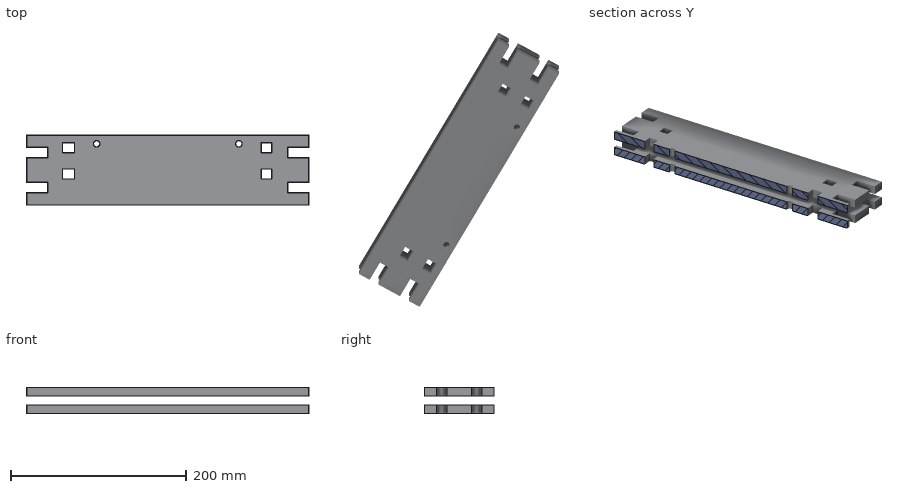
import cadquery as cq

length = 322.0
width = 80.0
thickness = 10.0
plate_gap = thickness
plate_count = 2

slot_depth = 23.8
slot_width = 11.5
slot_offset = 20.0

window_height = 11.0
left_window_length = 13.5
right_window_length = 11.5
left_window_x = -113.5
right_window_x = 112.7
window_rows = [25.5, -4.5]

hole_diameter = 7.0
hole_offset = 81.0
hole_edge_distance = 10.0
hole_y = width / 2 - hole_edge_distance


def cut_end_slots(plate):
    """Cut two slots into each end of the plate."""
    centers = [(x, y) for x in (-length / 2, length / 2) for y in (-slot_offset, slot_offset)]
    return plate.pushPoints(centers).rect(2 * slot_depth, slot_width).cutThruAll()


def cut_windows(plate, center_x, window_length):
    """Cut one column of rectangular windows through the plate."""
    centers = [(center_x, y) for y in window_rows]
    return plate.pushPoints(centers).rect(window_length, window_height).cutThruAll()


def drill_holes(plate):
    """Drill the two round holes through the plate."""
    centers = [(-hole_offset, hole_y), (hole_offset, hole_y)]
    return plate.pushPoints(centers).circle(hole_diameter / 2).cutThruAll()


def make_plate(bottom_z):
    """Build one plate with its underside at bottom_z."""
    plate = cq.Workplane("XY").workplane(offset=bottom_z).rect(length, width).extrude(thickness)
    plate = cut_end_slots(plate.faces(">Z").workplane())
    plate = cut_windows(plate, left_window_x, left_window_length)
    plate = cut_windows(plate, right_window_x, right_window_length)
    return drill_holes(plate)


plates = [make_plate(i * (thickness + plate_gap)) for i in range(plate_count)]

result = cq.Compound.makeCompound([plate.val() for plate in plates])